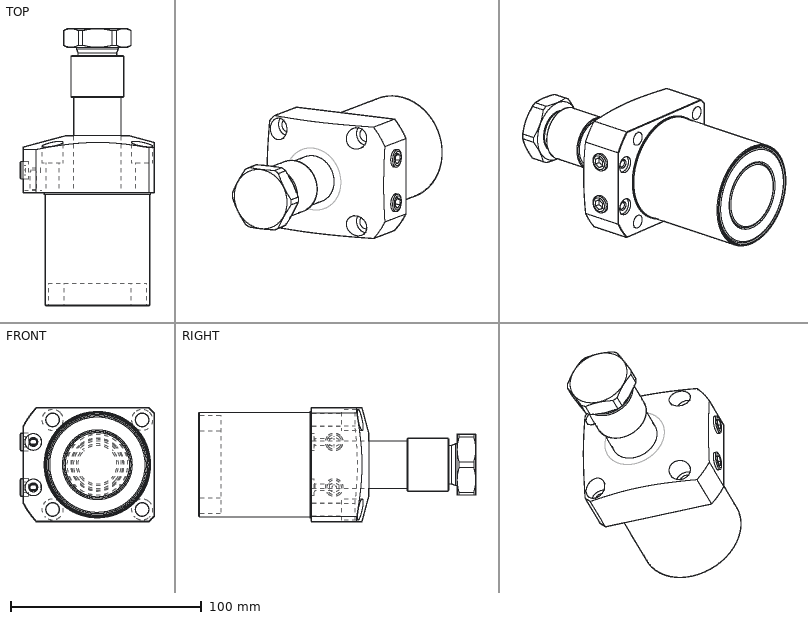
import cadquery as cq
import math


flange_right = 30.0
flange_left = 39.0
flange_half_height = 30.0
flange_round_radius = 44.0
flange_corner_chamfer = 2.9
flange_front_chamfer = 0.3
flange_thickness = 30.3
back_flat_radius = 16.6
back_slope_angle = 15.0
boss_radius = 28.0
boss_height = 0.7

barrel_radius = 27.5
barrel_length = 59.1
barrel_edge_chamfer = 0.5

cap_radius = 25.8
cap_thickness = 11.6
center_plug_radius = 17.6
joint_groove_half_width = 0.7
joint_groove_depth = 0.5

mount_pitch = 47.0
mount_diameter = 7.0
mount_counterbore_diameter = 11.0
mount_counterbore_floor = 16.0

port_offset = 12.0
port_x = -33.6
port_recess_radius = 4.4
port_recess_depth = 1.5
port_mouth_radius = 2.3
port_radius = 1.7
passage_y = 12.1
passage_radius = 1.2
passage_end_x = -29.8

side_plug_radius = 4.7
side_plug_projection = 1.6
side_plug_length = 4.4
side_plug_chamfer_length = 0.5
side_plug_chamfer_width = 0.9
side_socket_flats = 4.8
side_socket_depth = 2.9

rod_radius = 12.5
rod_insertion = 30.3
collar_radius = 14.0
collar_front = 50.3
collar_back = 72.3
collar_front_chamfer = 0.5
collar_back_chamfer = 0.6

neck_radius = 10.2
neck_cone_start = 73.6
neck_cone_end = 75.8
neck_shoulder_radius = 11.0
head_start = 76.5
head_end = 86.4
head_flats = 32.0
head_corner_radius = 17.8
head_face_radius = 15.9
head_chamfer_angle = 30.0


def revolved(profile):
    """Turn a closed (radius, y) profile about the Y axis."""
    return cq.Workplane("XY").polyline(profile).close().revolve(360, (0, 0), (0, 1))


def cylinder_y(radius, y_start, y_end, x=0.0, z=0.0):
    """Cylinder parallel to the Y axis between two Y positions."""
    axis_start = cq.Vector(x, y_start, z)
    return cq.Workplane(cq.Solid.makeCylinder(radius, y_end - y_start, axis_start, cq.Vector(0, 1, 0)))


def cylinder_x(radius, x_start, x_end, y, z):
    """Cylinder parallel to the X axis between two X positions."""
    axis_start = cq.Vector(x_start, y, z)
    return cq.Workplane(cq.Solid.makeCylinder(radius, x_end - x_start, axis_start, cq.Vector(1, 0, 0)))


def hexagon_diameter(across_flats):
    """Across-corners size of a hexagon."""
    return across_flats / math.cos(math.radians(30))


def make_flange():
    """Square block with a conical back face and two turned corners."""
    length = flange_left + flange_right
    block = (
        cq.Workplane("XY")
        .box(length, flange_thickness, 2 * flange_half_height)
        .translate(((flange_right - flange_left) / 2, flange_thickness / 2, 0))
        .edges(">X and |Y")
        .chamfer(flange_corner_chamfer)
    )
    block = block.intersect(cylinder_y(flange_round_radius, 0, flange_thickness))
    block = block.faces("<Y").edges().chamfer(flange_front_chamfer)

    slope_drop = (flange_round_radius - back_flat_radius) * math.tan(math.radians(back_slope_angle))
    turned_back = revolved([
        (0, 0),
        (flange_round_radius, 0),
        (flange_round_radius, flange_thickness - slope_drop),
        (back_flat_radius, flange_thickness),
        (0, flange_thickness),
    ])
    return block.intersect(turned_back)


def make_barrel():
    """Barrel with a low boss at its root and a pocket for the end cap."""
    end = -barrel_length
    return revolved([
        (0, 0),
        (boss_radius, 0),
        (boss_radius, -boss_height),
        (barrel_radius, -boss_height),
        (barrel_radius, end + barrel_edge_chamfer),
        (barrel_radius - barrel_edge_chamfer, end),
        (cap_radius + joint_groove_half_width, end),
        (cap_radius, end + joint_groove_depth),
        (cap_radius, end + cap_thickness),
        (0, end + cap_thickness),
    ])


def cut_mounting_holes(body):
    """Four through holes counterbored from the sloping back face."""
    for x in (-mount_pitch / 2, mount_pitch / 2):
        for z in (-mount_pitch / 2, mount_pitch / 2):
            body = body.cut(cylinder_y(mount_diameter / 2, 0, flange_thickness, x, z))
            counterbore = cylinder_y(
                mount_counterbore_diameter / 2, mount_counterbore_floor, flange_thickness, x, z
            )
            body = body.cut(counterbore)
    return body


def cut_port(body, z):
    """Recessed oil port meeting a cross passage that opens into a side plug seat."""
    mouth_depth = port_recess_depth + port_mouth_radius - port_radius
    port = revolved([
        (0, 0),
        (port_recess_radius, 0),
        (port_recess_radius, port_recess_depth),
        (port_mouth_radius, port_recess_depth),
        (port_radius, mouth_depth),
        (port_radius, passage_y),
        (0, passage_y),
    ]).translate((port_x, 0, z))
    passage = cylinder_x(passage_radius, -flange_left, passage_end_x, passage_y, z)
    seat_end = side_plug_length - side_plug_projection - flange_left
    seat = cylinder_x(side_plug_radius, -flange_left, seat_end, passage_y, z)
    return body.cut(port).cut(passage).cut(seat)


def make_housing():
    body = make_flange().union(make_barrel())
    body = cut_mounting_holes(body)
    for z in (-port_offset, port_offset):
        body = cut_port(body, z)
    return body.cut(cylinder_y(rod_radius, flange_thickness - rod_insertion, flange_thickness))


def make_end_cap():
    """Ring closing the barrel, chamfered at both edges of its outer face."""
    end = -barrel_length
    return revolved([
        (center_plug_radius + joint_groove_half_width, end),
        (cap_radius - joint_groove_half_width, end),
        (cap_radius, end + joint_groove_depth),
        (cap_radius, end + cap_thickness),
        (center_plug_radius, end + cap_thickness),
        (center_plug_radius, end + joint_groove_depth),
    ])


def make_center_plug():
    """Disc filling the bore of the end cap."""
    disc = cylinder_y(center_plug_radius, -barrel_length, cap_thickness - barrel_length)
    return disc.faces("<Y").edges().chamfer(joint_groove_depth, joint_groove_half_width)


def make_side_plug(z):
    """Round plug with a hexagon socket, standing slightly proud of the -X side."""
    face_x = -flange_left - side_plug_projection
    plug = cylinder_x(side_plug_radius, face_x, face_x + side_plug_length, passage_y, z)
    plug = plug.faces("<X").edges().chamfer(side_plug_chamfer_length, side_plug_chamfer_width)
    socket = (
        cq.Workplane("YZ", origin=(face_x, passage_y, z))
        .transformed(rotate=(0, 0, 90))
        .polygon(6, hexagon_diameter(side_socket_flats))
        .extrude(side_socket_depth)
    )
    return plug.cut(socket)


def make_rod():
    """Plain rod with a larger collar at its outer end."""
    return revolved([
        (0, flange_thickness - rod_insertion),
        (rod_radius, flange_thickness - rod_insertion),
        (rod_radius, collar_front),
        (collar_radius - collar_front_chamfer, collar_front),
        (collar_radius, collar_front + collar_front_chamfer),
        (collar_radius, collar_back - collar_back_chamfer),
        (collar_radius - collar_back_chamfer, collar_back),
        (0, collar_back),
    ])


def make_bolt():
    """Hexagon head, turned at its corners, on a flared neck."""
    hexagon = (
        cq.Workplane("XZ", origin=(0, head_end, 0))
        .polygon(6, hexagon_diameter(head_flats))
        .extrude(head_end - head_start)
    )
    head_chamfer = (head_corner_radius - head_face_radius) * math.tan(math.radians(head_chamfer_angle))
    turned_head = revolved([
        (0, head_start),
        (head_face_radius, head_start),
        (head_corner_radius, head_start + head_chamfer),
        (head_corner_radius, head_end - head_chamfer),
        (head_face_radius, head_end),
        (0, head_end),
    ])
    neck = revolved([
        (0, collar_back),
        (neck_radius, collar_back),
        (neck_radius, neck_cone_start),
        (neck_shoulder_radius, neck_cone_end),
        (neck_shoulder_radius, head_start),
        (0, head_start),
    ])
    return hexagon.intersect(turned_head).union(neck)


housing = make_housing()
end_cap = make_end_cap()
center_plug = make_center_plug()
side_plugs = [make_side_plug(z) for z in (-port_offset, port_offset)]
rod = make_rod()
bolt = make_bolt()

result = cq.Compound.makeCompound([
    housing.val(),
    end_cap.val(),
    center_plug.val(),
    *[plug.val() for plug in side_plugs],
    rod.val(),
    bolt.val(),
])